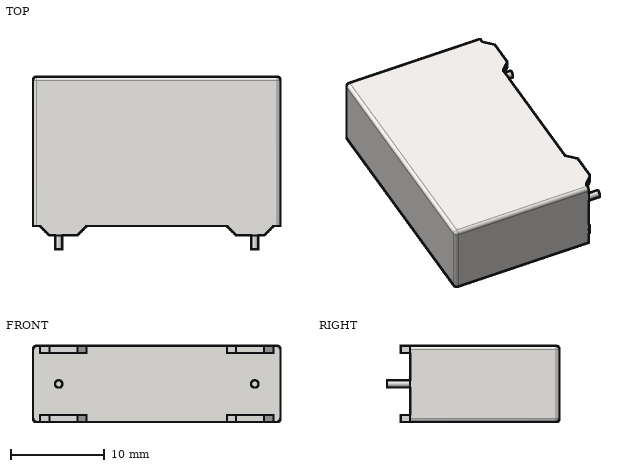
import cadquery as cq

body_length = 26.5
body_depth = 16.0
body_height = 8.2
edge_radius = 0.4

foot_width = 5.0
foot_drop = 1.0
foot_thickness = 0.8
foot_inset = 0.75
foot_slope_run = foot_drop

pin_spacing = 21.0
pin_diameter = 0.8
pin_length = 2.5

foot_center_x = body_length / 2 - foot_inset - foot_width / 2


def make_body():
    """Box with its leads face on Y = 0, rounded everywhere but around that face."""
    box = cq.Workplane("XY").box(body_length, body_depth, body_height, centered=(True, False, True))
    return box.edges("|Y or >Y").fillet(edge_radius)


def make_foot(center_x, bottom_z):
    """Trapezoidal plate that narrows away from the body."""
    half_root = foot_width / 2
    half_tip = half_root - foot_slope_run
    return (
        cq.Workplane("XY", origin=(center_x, 0, bottom_z))
        .polyline([(-half_root, 0), (-half_tip, -foot_drop), (half_tip, -foot_drop), (half_root, 0)])
        .close()
        .extrude(foot_thickness)
    )


def make_pins():
    """Two pins at mid height, standing out of the leads face."""
    return (
        cq.Workplane("XZ")
        .pushPoints([(-pin_spacing / 2, 0), (pin_spacing / 2, 0)])
        .circle(pin_diameter / 2)
        .extrude(pin_length)
    )


result = make_body().union(make_pins())
for foot_x in (-foot_center_x, foot_center_x):
    for foot_z in (-body_height / 2, body_height / 2 - foot_thickness):
        result = result.union(make_foot(foot_x, foot_z))